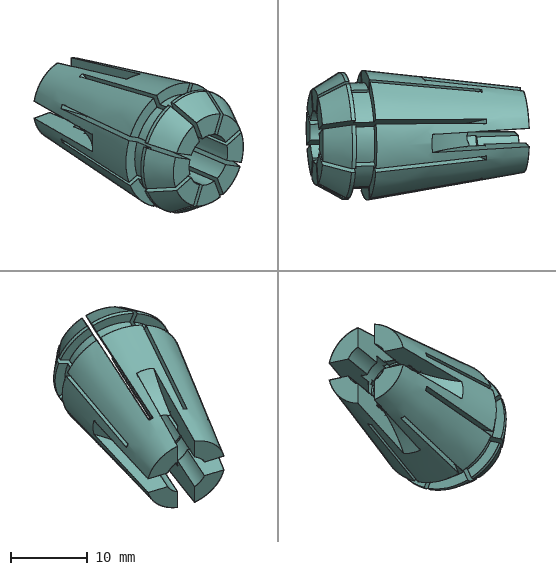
import cadquery as cq
import math

length = 27.5
taper_angle = 8.0
small_radius = 5.55
taper_length = 20.8
neck_radius = 6.9
collar_start = 23.45
collar_radius = 8.3
collar_chamfer_start = 23.98
end_radius = 6.27

socket_radius = 2.9
relief_radius = 3.75
relief_start = 5.5
relief_end = 8.8
shank_radius = 3.46

drive_slot_count = 4
drive_slot_width = 2.42
run_out_start = (7.7, 3.63)
run_out_end = (13.25, 7.4)
run_out_radius = 15.12

flex_slot_count = 8
flex_slot_width = 0.58
flex_slot_start = 5.75
flex_run_out_angle = 45.0

clearance = 1.38


def taper_radius(x):
    """Outer radius of the long taper at a distance x from the small end."""
    return small_radius + x * math.tan(math.radians(taper_angle))


def body():
    """Solid of revolution: taper, neck groove and chamfered collar."""
    outline = [
        (0, 0),
        (0, small_radius),
        (taper_length, taper_radius(taper_length)),
        (taper_length, neck_radius),
        (collar_start, neck_radius),
        (collar_start, collar_radius),
        (collar_chamfer_start, collar_radius),
        (length, end_radius),
        (length, 0),
    ]
    return cq.Workplane("XY").polyline(outline).close().revolve(360, (0, 0, 0), (1, 0, 0))


def bore():
    """Stepped round passage through the whole length."""
    socket = cq.Workplane("YZ").circle(socket_radius).extrude(relief_end)
    relief = cq.Workplane("YZ", origin=(relief_start, 0, 0)).circle(relief_radius)
    relief = relief.extrude(relief_end - relief_start)
    shank = cq.Workplane("YZ", origin=(relief_end, 0, 0)).circle(shank_radius)
    shank = shank.extrude(length - relief_end)
    return socket.union(relief).union(shank)


def drive_slot():
    """Slot on the +Y side whose floor is a concave arc rising to the taper."""
    start_x, start_y = run_out_start
    end_x, end_y = run_out_end
    chord = math.dist(run_out_start, run_out_end)
    bulge = run_out_radius - math.sqrt(run_out_radius**2 - (chord / 2) ** 2)
    middle = (
        (start_x + end_x) / 2 + bulge * (end_y - start_y) / chord,
        (start_y + end_y) / 2 - bulge * (end_x - start_x) / chord,
    )
    return (
        cq.Workplane("XY")
        .moveTo(0, 0)
        .lineTo(start_x, 0)
        .lineTo(start_x, start_y)
        .threePointArc(middle, run_out_end)
        .lineTo(end_x, end_y + clearance)
        .lineTo(0, end_y + clearance)
        .close()
        .extrude(drive_slot_width / 2, both=True)
    )


def flex_slot():
    """Thin slot on the +Y side, cut through the wall into the bore."""
    outer = taper_radius(taper_length) + clearance
    start_radius = taper_radius(flex_slot_start)
    slope_length = start_radius / math.tan(math.radians(flex_run_out_angle))
    outline = [
        (flex_slot_start, outer),
        (flex_slot_start, start_radius),
        (flex_slot_start + slope_length, 0),
        (length, 0),
        (length, outer),
    ]
    return cq.Workplane("XY").polyline(outline).close().extrude(flex_slot_width / 2, both=True)


result = body().cut(bore())

drive_pitch = 360 / drive_slot_count
for index in range(drive_slot_count):
    result = result.cut(drive_slot().rotate((0, 0, 0), (1, 0, 0), drive_pitch * index))

flex_pitch = 360 / flex_slot_count
for index in range(flex_slot_count):
    angle = flex_pitch * (index + 0.5)
    result = result.cut(flex_slot().rotate((0, 0, 0), (1, 0, 0), angle))